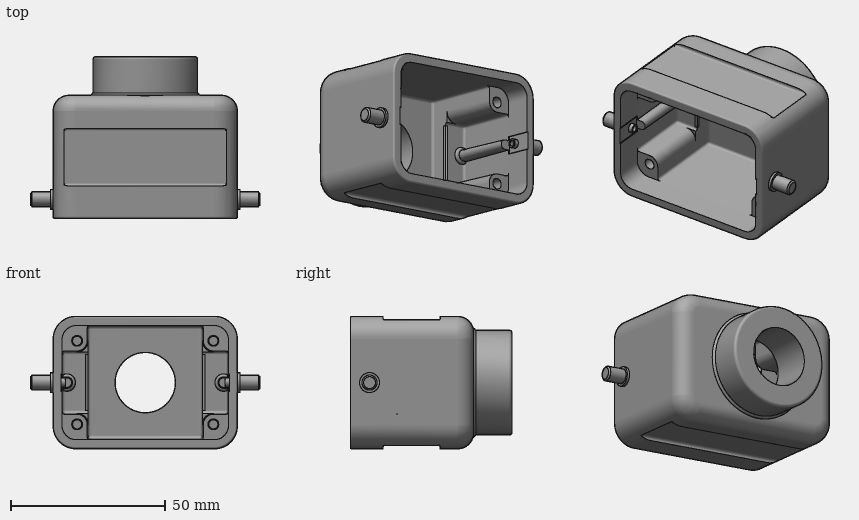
import cadquery as cq
import math


total_width = 74.4
total_depth = 52.5
height = 43.0

body_width = 59.8
body_depth = 40.0
corner_radius = 7.45
back_edge_radius = 5.2
rim_edge_radius = 0.6

mouth_width = 54.0
mouth_height = 37.05
mouth_radius = 4.6
post_end_y = 9.3
draft_angle = 0.8
ledge_y = 30.9
floor_y = 36.9
floor_radius = 0.9

post_radius = 3.3
screw_x = 22.1
screw_z = 13.55
screw_entry_diameter = 3.5
screw_entry_depth = 7.45
screw_diameter = 3.0
screw_depth = 14.9
centre_width = 2 * (screw_x - post_radius)
ledge_height = 2 * (screw_z - post_radius)

rib_x = 25.45
rib_diameter = 3.1
rib_foot_radius = 1.0
rib_root_depth = 0.75
groove_width = 5.7
groove_depth = 0.3

pin_y = 6.25
pin_diameter = 4.9
pin_chamfer = 0.5
flange_diameter = 6.5
flange_thickness = 0.9
stub_diameter = 3.0
stub_end_x = 25.9
stub_hole_diameter = 1.9
stub_hole_depth = 1.5

collar_diameter = 34.0
collar_edge_radius = 1.0
collar_foot_radius = 0.75
cable_hole_diameter = 19.5

label_width = 53.2
label_start_y = 10.65
label_end_y = 29.2
label_depth = 1.3
label_radius = 0.75

SIDES = (-1, 1)


def plane_at(y):
    """XZ plane at the given y whose normal points to +Y and whose local Y points to -Z."""
    return cq.Workplane(cq.Plane(origin=(0, y, 0), xDir=(1, 0, 0), normal=(0, 1, 0)))


def block(width, high, y_start, y_end):
    """Box centred on the Y axis, between two y positions."""
    return plane_at(y_start).rect(width, high).extrude(y_end - y_start)


def rod(diameter, y_start, y_end, x=0.0, z=0.0):
    """Cylinder parallel to the Y axis."""
    return plane_at(y_start).center(x, -z).circle(diameter / 2).extrude(y_end - y_start)


def draft_growth(y):
    """How far a drafted wall has moved inwards between the post ends and the given y."""
    return (y - post_end_y) * math.tan(math.radians(draft_angle))


def drafted_block(width, high, y_start, y_end):
    """Box that narrows towards +Y by the draft angle."""
    return plane_at(y_start).rect(width, high).extrude(y_end - y_start, taper=draft_angle)


def drafted_rod(diameter, y_start, y_end, x, z):
    """Rod that widens towards +Y by the draft angle."""
    profile = plane_at(y_start).center(x, -z).circle(diameter / 2)
    return profile.extrude(y_end - y_start, taper=-draft_angle)


def cross_rod(diameter, side, x_start, x_end):
    """Cylinder on the pin axis, between two distances from the middle on one side."""
    profile = cq.Workplane("YZ", origin=(side * x_start, 0, 0)).center(pin_y, 0).circle(diameter / 2)
    return profile.extrude(side * (x_end - x_start))


def make_shell():
    shell = block(body_width, height, 0, body_depth).edges("|Y").fillet(corner_radius)
    shell = shell.faces(">Y").edges().fillet(back_edge_radius)
    shell = shell.faces("<Y").edges().fillet(rim_edge_radius)
    collar = rod(collar_diameter, floor_y, total_depth).faces(">Y").edges().fillet(collar_edge_radius)
    foot_y = body_depth + collar_foot_radius
    foot_diameter = collar_diameter + 2 * collar_foot_radius
    foot = rod(foot_diameter, floor_y, foot_y).faces(">Y").edges().chamfer(0.99 * collar_foot_radius)
    return shell.union(collar).union(foot)


def make_cavity():
    mouth = block(mouth_width, mouth_height, 0, post_end_y).edges("|Y").fillet(mouth_radius)
    for side in SIDES:
        groove = cq.Workplane("XY").box(
            mouth_width / 2 + groove_depth, post_end_y, groove_width, centered=(False, False, True)
        )
        mouth = mouth.union(groove if side > 0 else groove.mirror("YZ"))

    centre = drafted_block(centre_width, mouth_height, post_end_y, floor_y)
    ledges = drafted_block(mouth_width, ledge_height, post_end_y, ledge_y)
    cavity = mouth
    for pocket in (centre, ledges):
        cavity = cavity.union(pocket.edges("not <Y").fillet(floor_radius))
    for side in SIDES:
        cavity = cavity.union(make_ledge_step(side))
        for end in SIDES:
            cavity = cavity.union(make_post_rounding(side, end))
    return cavity


def make_post_rounding(side, end):
    """Space left beside one post by rounding its inward corner around the screw hole."""
    size = 1.5 * post_radius
    corner = block(size, size, post_end_y, ledge_y - floor_radius)
    corner = corner.translate((screw_x - size / 2, 0, screw_z - size / 2))
    corner = corner.cut(drafted_rod(2 * post_radius, post_end_y, ledge_y, screw_x, screw_z))
    if side < 0:
        corner = corner.mirror("YZ")
    return corner if end > 0 else corner.mirror("XY")


def make_ledge_step(side):
    """Space freed by rounding the edge where a ledge drops to the middle of the cavity."""
    edge_x = centre_width / 2 - draft_growth(ledge_y)
    step = (
        cq.Workplane("XY")
        .moveTo(edge_x, ledge_y)
        .lineTo(edge_x + floor_radius, ledge_y)
        .radiusArc((edge_x, ledge_y + floor_radius), -floor_radius)
        .close()
        .extrude(ledge_height / 2 - floor_radius - draft_growth(ledge_y), both=True)
    )
    return step if side > 0 else step.mirror("YZ")


def make_screw_holes():
    holes = cq.Workplane("XY")
    for x in (-screw_x, screw_x):
        for z in (-screw_z, screw_z):
            holes = holes.union(rod(screw_entry_diameter, post_end_y, post_end_y + screw_entry_depth, x, z))
            holes = holes.union(rod(screw_diameter, post_end_y, post_end_y + screw_depth, x, z))
    return holes


def make_rib(side):
    """Round-nosed rib on a side wall, flared where its nose stands on the ledge."""
    radius = rib_diameter / 2
    root_x = body_width / 2 - 2 * groove_depth
    body = (
        plane_at(post_end_y)
        .moveTo(root_x, -radius)
        .lineTo(rib_x, -radius)
        .radiusArc((rib_x, radius), radius)
        .lineTo(root_x, radius)
        .close()
        .extrude(ledge_y + rib_root_depth - post_end_y, taper=-draft_angle)
    )
    foot_radius = radius + draft_growth(ledge_y) + rib_foot_radius
    foot = (
        cq.Workplane("XY")
        .moveTo(0, ledge_y + rib_root_depth)
        .lineTo(foot_radius, ledge_y + rib_root_depth)
        .lineTo(foot_radius, ledge_y)
        .radiusArc((foot_radius - rib_foot_radius, ledge_y - rib_foot_radius), rib_foot_radius)
        .lineTo(0, ledge_y - rib_foot_radius)
        .close()
        .revolve(360, (0, 0, 0), (0, 1, 0))
        .translate((rib_x, 0, 0))
    )
    rib = body.union(foot)
    return rib if side > 0 else rib.mirror("YZ")


def make_pin(side):
    wall_x = body_width / 2
    inside_wall = mouth_width / 2
    end_face = ">X" if side > 0 else "<X"
    pin = cross_rod(pin_diameter, side, inside_wall + 0.75, total_width / 2)
    pin = pin.faces(end_face).chamfer(pin_chamfer)
    flange = cross_rod(flange_diameter, side, wall_x - 0.75, wall_x + flange_thickness)
    stub = cross_rod(stub_diameter, side, stub_end_x, wall_x)
    hole = cross_rod(stub_hole_diameter, side, stub_end_x, stub_end_x + stub_hole_depth)
    return pin.union(flange).union(stub).cut(hole)


def make_label_recess(side):
    mid_y = (label_start_y + label_end_y) / 2
    recess = (
        cq.Workplane("XY", origin=(0, mid_y, side * (height / 2 - label_depth)))
        .rect(label_width, label_end_y - label_start_y)
        .extrude(side * 2 * label_depth)
    )
    floor_edges = "<Z" if side > 0 else ">Z"
    return recess.faces(floor_edges).edges().fillet(label_radius)


result = make_shell().cut(make_cavity())
for side in SIDES:
    result = result.union(make_rib(side)).union(make_pin(side)).cut(make_label_recess(side))
result = result.cut(make_screw_holes())
result = result.cut(rod(cable_hole_diameter, floor_y - 0.75, total_depth))